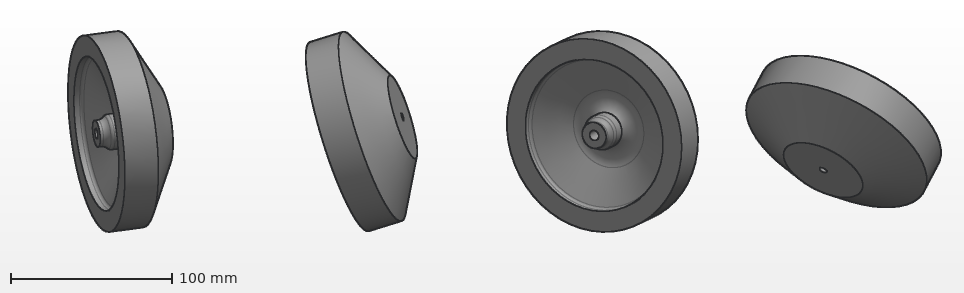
import cadquery as cq
import math


outer_radius = 61.6
thickness = 41.6
rim_width = 21.7
cone_angle = math.radians(30)

mouth_radius = 48.4
mouth_depth = 3.6
mouth_fillet = 2.7
floor_radius = 24.8

hub_radius = 11.1
hub_base_depth = 15.6
tip_radius = 8.4
tip_length = 2.0
neck_turn = math.radians(45)
neck_blend = 6.2

bore_radius = 3.2
bore_depth = 20.0
hole_radius = 2.5


def add_neck(profile):
    """Draw the S-curve from the hub cylinder in to the tip cylinder."""
    turn_reach = 1 - math.cos(neck_turn)
    shoulder_blend = (hub_radius - tip_radius) / turn_reach - neck_blend
    middle = (
        tip_radius + neck_blend * turn_reach,
        tip_length + neck_blend * math.sin(neck_turn),
    )
    shoulder_depth = middle[1] + shoulder_blend * math.sin(neck_turn)
    return (
        profile.lineTo(hub_radius, shoulder_depth)
        .tangentArcPoint(middle, relative=False)
        .tangentArcPoint((tip_radius, tip_length), relative=False)
    )


def make_body():
    """Revolve the wheel, dish and hub in one profile."""
    slope = math.tan(cone_angle)
    back_radius = outer_radius - (thickness - rim_width) / slope

    fillet_turn = math.pi / 2 - cone_angle
    wall_radius = mouth_radius - mouth_fillet * (1 - math.cos(fillet_turn))
    wall_depth = mouth_depth + mouth_fillet * math.sin(fillet_turn)
    floor_depth = wall_depth + (wall_radius - floor_radius) * slope

    profile = (
        cq.Workplane("XY")
        .moveTo(0, thickness)
        .lineTo(back_radius, thickness)
        .lineTo(outer_radius, rim_width)
        .lineTo(outer_radius, 0)
        .lineTo(mouth_radius, 0)
        .lineTo(mouth_radius, mouth_depth)
        .tangentArcPoint((wall_radius, wall_depth), relative=False)
        .lineTo(floor_radius, floor_depth)
        .tangentArcPoint((hub_radius, hub_base_depth), relative=False)
    )
    profile = add_neck(profile).lineTo(tip_radius, 0).lineTo(0, 0).close()
    return profile.revolve(360, (0, 0, 0), (0, 1, 0))


def axial_cylinder(radius, length):
    """Cylinder running along +Y from the front face."""
    return cq.Workplane("XZ").circle(radius).extrude(-length)


result = (
    make_body()
    .cut(axial_cylinder(bore_radius, bore_depth))
    .cut(axial_cylinder(hole_radius, thickness))
)